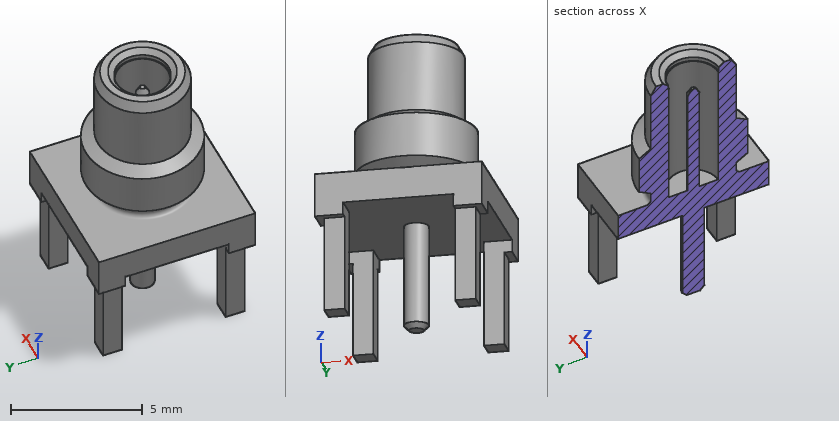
import cadquery as cq

base_side = 6.5
base_top = 5.43
base_underside = 4.2
foot_bottom = 3.72
foot_gap = 4.3
leg_side = 0.8
foot_side = (base_side - foot_gap) / 2
foot_center = (foot_gap + foot_side) / 2
leg_center = (foot_gap + leg_side) / 2

part_top = 11.4
barrel_radius = 1.85
rim_radius = 1.62
rim_chamfer_height = 0.39
collar_radius = 2.35
collar_top = 7.97
collar_bottom = 6.24
collar_taper_height = 0.3
neck_fillet = 0.19

mouth_radius = 1.31
entry_radius = 1.08
socket_radius = 1.05
mouth_chamfer_depth = 0.19
entry_depth = 0.38

contact_radius = 0.26
contact_tip_radius = 0.1
contact_top = 10.57
contact_taper_height = 0.3

pin_radius = 0.48
pin_chamfer = 0.19


def make_base():
    """Square slab with four feet and four square legs."""
    slab = (
        cq.Workplane("XY").workplane(offset=base_underside)
        .rect(base_side, base_side).extrude(base_top - base_underside)
    )
    for x_side in (-1, 1):
        for y_side in (-1, 1):
            foot = (
                cq.Workplane("XY").workplane(offset=foot_bottom)
                .center(x_side * foot_center, y_side * foot_center)
                .rect(foot_side, foot_side).extrude(base_underside - foot_bottom)
            )
            leg = (
                cq.Workplane("XY")
                .center(x_side * leg_center, y_side * leg_center)
                .rect(leg_side, leg_side).extrude(base_underside)
            )
            slab = slab.union(foot).union(leg)
    return slab


def make_barrel():
    """Hollow stepped barrel with a filleted neck and a chamfered mouth."""
    return (
        cq.Workplane("XZ")
        .moveTo(socket_radius, base_top)
        .lineTo(barrel_radius + neck_fillet, base_top)
        .radiusArc((barrel_radius, base_top + neck_fillet), neck_fillet)
        .lineTo(barrel_radius, collar_bottom - collar_taper_height)
        .lineTo(collar_radius, collar_bottom)
        .lineTo(collar_radius, collar_top)
        .lineTo(barrel_radius, collar_top + collar_taper_height)
        .lineTo(barrel_radius, part_top - rim_chamfer_height)
        .lineTo(rim_radius, part_top)
        .lineTo(mouth_radius, part_top)
        .lineTo(entry_radius, part_top - mouth_chamfer_depth)
        .lineTo(entry_radius, part_top - entry_depth)
        .lineTo(socket_radius, part_top - entry_depth)
        .close()
        .revolve(360, (0, 0, 0), (0, 1, 0))
    )


def make_center_pin():
    """Solder pin and contact pin, joined through the base."""
    return (
        cq.Workplane("XZ")
        .moveTo(0, 0)
        .lineTo(pin_radius - pin_chamfer, 0)
        .lineTo(pin_radius, pin_chamfer)
        .lineTo(pin_radius, base_underside)
        .lineTo(contact_radius, base_underside)
        .lineTo(contact_radius, contact_top - contact_taper_height)
        .lineTo(contact_tip_radius, contact_top)
        .lineTo(0, contact_top)
        .close()
        .revolve(360, (0, 0, 0), (0, 1, 0))
    )


result = make_base().union(make_barrel()).union(make_center_pin())